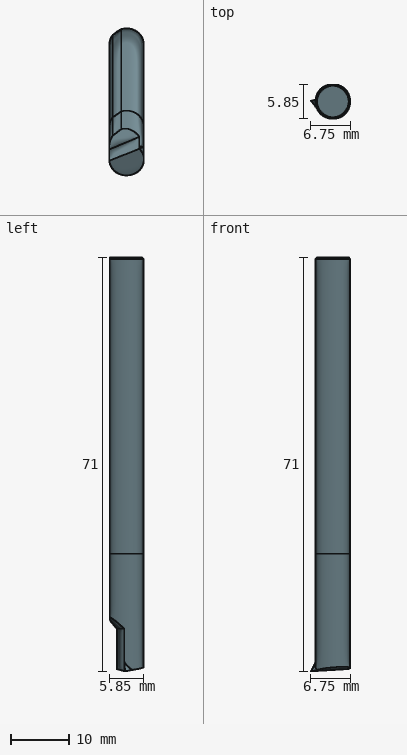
import cadquery as cq
import math

total_length = 71.0
bar_radius = 3.0
flat_offset = 2.85
end_chamfer = 0.3
neck_length = 20.15

tip_reach = 3.75
tip_y = 0.15
tip_height = 1.55
tip_depth = 1.0
tip_root = 0.7
end_slope = math.tan(math.radians(5))
end_clearance = math.tan(math.radians(7))

rake_angle = 13.0
rake_height = 7.3
cutter_size = 21.3


def bar_section(bottom, length):
    """Round bar with a narrow flat along its +Y side."""
    bar = cq.Workplane("XY").workplane(offset=bottom).circle(bar_radius).extrude(length)
    side = 2 * bar_radius
    keep = cq.Workplane("XY").box(side, side, length, centered=(True, False, False))
    return bar.intersect(keep.translate((0, flat_offset - side, bottom)))


def make_shank():
    length = total_length - neck_length
    chamfered = (
        cq.Workplane("XY").workplane(offset=neck_length)
        .circle(bar_radius).extrude(length)
        .faces(">Z").chamfer(end_chamfer)
    )
    return chamfered.intersect(bar_section(neck_length, length))


def rake_cutter():
    """Space above the rake face, closed at the top by a 45 degree run-out."""
    profile = [
        (0, -cutter_size),
        (0, rake_height),
        (cutter_size, rake_height + cutter_size),
        (cutter_size, -cutter_size),
    ]
    cutter = cq.Workplane("YZ").polyline(profile).close().extrude(cutter_size, both=True)
    cutter = cutter.rotate((0, 0, 0), (0, 0, 1), rake_angle)
    return cutter.translate((-tip_reach, tip_y, 0))


def end_height(x, y):
    """Height of the end relief plane, which passes through the cutting point."""
    return end_slope * (x + tip_reach) + end_clearance * (tip_y - y)


def end_cutter():
    """Everything below the end relief plane."""
    normal = (end_slope, -end_clearance, -1)
    plane = cq.Plane(origin=(-tip_reach, tip_y, 0), xDir=(1, 0, end_slope), normal=normal)
    return cq.Workplane(plane).rect(cutter_size, cutter_size).extrude(cutter_size)


def make_neck():
    return bar_section(0, neck_length).cut(rake_cutter()).cut(end_cutter())


def polygon_face(points):
    return cq.Face.makeFromWires(cq.Wire.makePolygon([cq.Vector(*p) for p in points], close=True))


def make_tip():
    """Four-sided point whose upper side continues the rake face out of the neck."""
    root_x = tip_root - bar_radius
    rake_slope = math.tan(math.radians(rake_angle))
    root_y = tip_y + rake_slope * (root_x + tip_reach)
    root_scale = (root_x + tip_reach) / (tip_reach - bar_radius)
    low_y = tip_y - tip_depth * root_scale
    point = (-tip_reach, tip_y, 0)
    back = (root_x, root_y, end_height(root_x, root_y))
    upper = (root_x, root_y, tip_height * root_scale)
    lower = (root_x, low_y, end_height(root_x, low_y))
    sides = [(point, back, upper), (point, upper, lower), (point, lower, back), (back, lower, upper)]
    shell = cq.Shell.makeShell([polygon_face(side) for side in sides])
    tip = cq.Workplane(cq.Solid.makeSolid(shell))
    return tip.cut(bar_section(0, neck_length))


shank = make_shank()
neck = make_neck()
tip = make_tip()

result = cq.Compound.makeCompound([shank.val(), neck.val(), *tip.vals()])